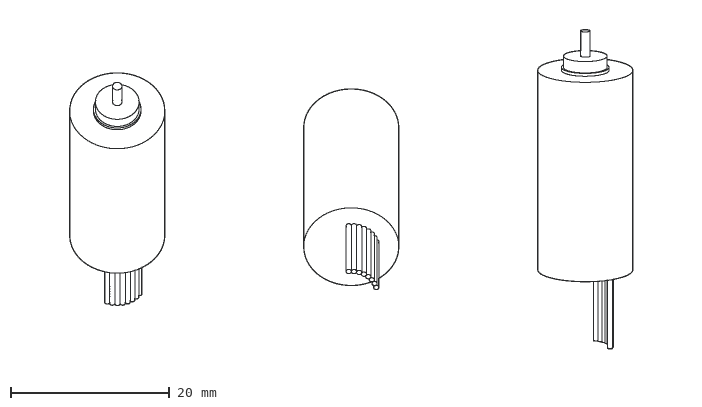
import cadquery as cq
import math

total_length = 41.15
body_diameter = 12.0
body_length = 26.0
wire_length = 10.0
collar_diameter = 6.0
collar_height = 0.35
boss_diameter = 5.5
boss_height = 1.5
shaft_diameter = 1.2

wire_diameter = 0.65
wire_count = 8
wire_arc_radius = 3.25
wire_arc_span = 82.0

shaft_length = total_length - wire_length - body_length - collar_height - boss_height


def make_motor():
    """Stack the body, collar, bearing boss and shaft along the axis."""
    steps = [
        (collar_diameter, collar_height),
        (boss_diameter, boss_height),
        (shaft_diameter, shaft_length),
    ]
    motor = cq.Workplane("XY").circle(body_diameter / 2).extrude(body_length)
    for diameter, height in steps:
        motor = motor.faces(">Z").workplane().circle(diameter / 2).extrude(height)
    return motor


def wire_centers():
    """Evenly spaced points on the arc, symmetric about the +X direction."""
    step = wire_arc_span / (wire_count - 1)
    angles = [math.radians(i * step - wire_arc_span / 2) for i in range(wire_count)]
    return [(wire_arc_radius * math.cos(a), wire_arc_radius * math.sin(a)) for a in angles]


result = make_motor()
for x, y in wire_centers():
    wire = cq.Workplane("XY").center(x, y).circle(wire_diameter / 2).extrude(-wire_length)
    result = result.union(wire)